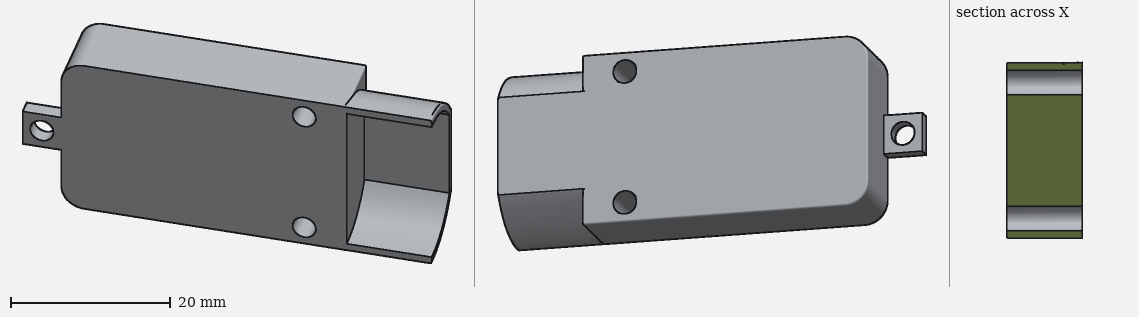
import cadquery as cq

depth = 9.5
height = 22.0
mid_z = height / 2

tab_length = 5.0
tab_width = 5.0
tab_thickness = 2.0

body_length = 37.0
cradle_length = 11.0
body_start = tab_length
body_end = body_start + body_length
corner_radius = 3.0
edge_radius = 0.25
overall_length = body_end + cradle_length
cradle_root = body_end - edge_radius

axis_depth = 0.5
cradle_wall = 1.0
outer_radius = mid_z
inner_radius = outer_radius - cradle_wall
floor_depth = depth - cradle_wall

hole_diameter = 3.0
tab_hole_x = tab_length / 2
body_hole_x = 36.5
body_hole_pitch = 17.0


def make_block(x_start, length, y_length, z_length):
    """Block with its front face on Y = 0, centred on the mid height."""
    block = cq.Workplane("XY").box(length, y_length, z_length, centered=(False, False, True))
    return block.translate((x_start, 0, mid_z))


def make_tab():
    """Thin lug at the middle of the -X end, flush with the front face."""
    return make_block(0, tab_length, tab_thickness, tab_width)


def make_body():
    """Body with rounded -X corners and finely rounded edges around its back and +X faces."""
    body = make_block(body_start, body_length, depth, height)
    body = body.edges("|Y and <X").fillet(corner_radius)
    return body.faces(">Y or >X").edges("not <Y").fillet(edge_radius)


def make_cradle_bar(radius):
    """Round bar along X, reaching back under the rounded edges of the body."""
    bar = cq.Workplane("YZ", origin=(cradle_root, axis_depth, mid_z)).circle(radius)
    return bar.extrude(overall_length - cradle_root)


def make_cradle():
    """Curved shell with a flat floor, open at the front and at +X."""
    outside = make_cradle_bar(outer_radius).faces(">X").fillet(edge_radius)
    outside = outside.intersect(make_block(cradle_root, overall_length - cradle_root, depth, height))
    inside = make_cradle_bar(inner_radius)
    inside = inside.intersect(make_block(body_end, cradle_length, floor_depth, height))
    return outside.cut(inside)


def make_screw_hole(x, z):
    """Screw hole through the full depth."""
    hole = cq.Workplane("XZ", origin=(x, 0, z)).circle(hole_diameter / 2)
    return hole.extrude(-depth)


result = make_body().union(make_tab()).union(make_cradle())

result = result.cut(make_screw_hole(tab_hole_x, mid_z))
for side in (-1, 1):
    result = result.cut(make_screw_hole(body_hole_x, mid_z + side * body_hole_pitch / 2))